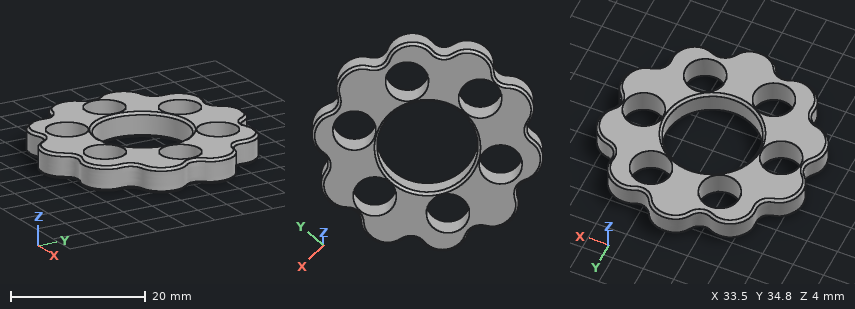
import cadquery as cq
import math

lobe_count = 10
pin_count = lobe_count + 1
pin_circle_radius = 17.98
pin_radius = 1.75
eccentricity = 1.15
first_lobe_angle = math.pi / 2
points_per_lobe = 24

thickness = 4.0
chamfer_size = 0.4

bore_radius = 7.5

output_hole_count = 6
output_hole_radius = 3.2
output_hole_circle_radius = 11.27


def profile_point(t):
    """Point on the pin-centre path, moved inward along its normal by the pin radius."""
    angle = 2 * math.pi * t
    roll = pin_count * angle
    path_x = pin_circle_radius * math.cos(angle) + eccentricity * math.cos(roll)
    path_y = pin_circle_radius * math.sin(angle) + eccentricity * math.sin(roll)
    slope_x = -pin_circle_radius * math.sin(angle) - pin_count * eccentricity * math.sin(roll)
    slope_y = pin_circle_radius * math.cos(angle) + pin_count * eccentricity * math.cos(roll)
    slope_length = math.hypot(slope_x, slope_y)
    x = path_x - pin_radius * slope_y / slope_length
    y = path_y + pin_radius * slope_x / slope_length
    return (
        x * math.cos(first_lobe_angle) - y * math.sin(first_lobe_angle),
        x * math.sin(first_lobe_angle) + y * math.cos(first_lobe_angle),
    )


def lobed_disc():
    """Lobed plate, chamfered around both rims."""
    point_count = lobe_count * points_per_lobe
    points = [profile_point(i / point_count) for i in range(point_count)]
    plate = cq.Workplane("XY").spline(points, periodic=True).close().extrude(thickness)
    return plate.faces("<Z or >Z").edges().chamfer(chamfer_size)


def bore():
    """Central through bore with a chamfer at each end."""
    mouth_radius = bore_radius + chamfer_size
    return (
        cq.Workplane("XZ")
        .moveTo(0, 0)
        .lineTo(mouth_radius, 0)
        .lineTo(bore_radius, chamfer_size)
        .lineTo(bore_radius, thickness - chamfer_size)
        .lineTo(mouth_radius, thickness)
        .lineTo(0, thickness)
        .close()
        .revolve(360, (0, 0, 0), (0, 1, 0))
    )


def output_holes():
    """Ring of plain through holes, the first on +X."""
    return (
        cq.Workplane("XY")
        .polarArray(output_hole_circle_radius, 0, 360, output_hole_count)
        .circle(output_hole_radius)
        .extrude(thickness)
    )


result = lobed_disc().cut(bore()).cut(output_holes())